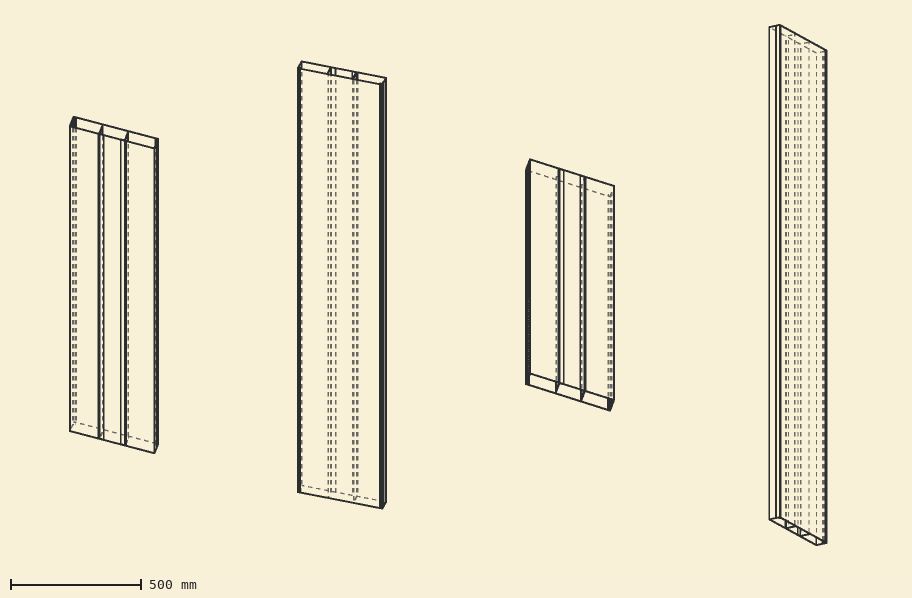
import cadquery as cq

width = 340.0
depth = 47.75
length = 2000.0

base_sheet = 1.0
cover_sheet = 1.25

lip_depth = 17.5

shoulder_drop = 18.0
flange_reach = 9.0
hook_depth = 8.0

divider_offset = 52.5
divider_gap = 7.7
web_thickness = 2.5
foot_overhang = 3.0
foot_width = 22.0

half_width = width / 2
front_y = -depth / 2
back_y = depth / 2
base_back_y = back_y - cover_sheet
shoulder_y = back_y - shoulder_drop
neck_half_width = half_width - cover_sheet
hook_half_width = neck_half_width - flange_reach


def box(x_range, y_range):
    """Full-length bar spanning the given X and Y ranges."""
    x_min, x_max = sorted(x_range)
    y_min, y_max = sorted(y_range)
    return (
        cq.Workplane("XY", origin=(0, 0, -length / 2))
        .center((x_min + x_max) / 2, (y_min + y_max) / 2)
        .rect(x_max - x_min, y_max - y_min)
        .extrude(length)
    )


def make_cover():
    """Flat cover sheet with a lip folded forward along each long edge."""
    cover = box((-half_width, half_width), (base_back_y, back_y))
    for side in (-1, 1):
        lip = box((side * half_width, side * neck_half_width), (back_y - lip_depth, back_y))
        cover = cover.union(lip)
    return cover


def make_side_wall(side):
    """Side wall that steps in behind the cover lip and ends in an inward hooked flange."""
    wall = box((side * half_width, side * (half_width - base_sheet)), (front_y, shoulder_y))
    shoulder = box(
        (side * half_width, side * (neck_half_width - base_sheet)),
        (shoulder_y - base_sheet, shoulder_y),
    )
    neck = box(
        (side * neck_half_width, side * (neck_half_width - base_sheet)),
        (shoulder_y - base_sheet, base_back_y),
    )
    flange = box(
        (side * neck_half_width, side * hook_half_width),
        (base_back_y - base_sheet, base_back_y),
    )
    hook = box(
        (side * hook_half_width, side * (hook_half_width + base_sheet)),
        (back_y - hook_depth, base_back_y),
    )
    return wall.union(shoulder).union(neck).union(flange).union(hook)


def make_divider(side):
    """Divider web on a flat foot that reaches mostly toward the middle of the duct."""
    floor_y = front_y + base_sheet
    web = box(
        (side * divider_offset, side * (divider_offset - web_thickness)),
        (floor_y, back_y - divider_gap),
    )
    foot_edge = divider_offset + foot_overhang
    foot = box(
        (side * foot_edge, side * (foot_edge - foot_width)),
        (floor_y, floor_y + base_sheet),
    )
    return web.union(foot)


def make_base():
    """Open channel: floor, two stepped side walls and two dividers."""
    base = box((-half_width, half_width), (front_y, front_y + base_sheet))
    for side in (-1, 1):
        base = base.union(make_side_wall(side)).union(make_divider(side))
    return base


cover = make_cover()
base = make_base()
result = cq.Compound.makeCompound([cover.val(), base.val()])